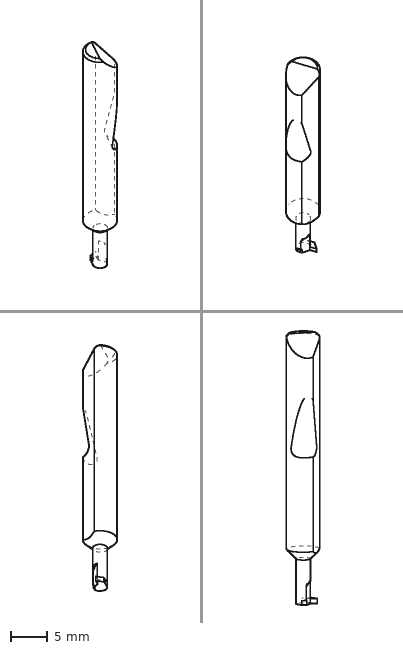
import cadquery as cq
import math

total_length = 38.1
shank_radius = 2.38
top_chamfer = 0.4
cone_top = 7.8
neck_radius = 1.01
cone_height = shank_radius - neck_radius

flat_normal_angle = 143.0
flat_distance = 1.95

slant_edge_y = -0.63
notch_bottom = 21.1
notch_top = 29.85
notch_floor_y = 1.1
notch_corner_radius = 1.2

pocket_normal_angle = 136.0
pocket_floor_distance = 0.75
pocket_top = 3.4
pocket_half_width = 0.75
pocket_corner_radius = 1.3

head_top = 0.72
head_back_y = 0.88
tip_x = -2.04
tip_y = 0.0
heel_x = -1.35
heel_y = -1.0
hook_end_x = 0.095
underside_rise = 0.1


def tool_body():
    """Revolved neck, cone and chamfered shank."""
    profile = [
        (0, 0),
        (neck_radius, 0),
        (neck_radius, cone_top - cone_height),
        (shank_radius, cone_top),
        (shank_radius, total_length - top_chamfer),
        (shank_radius - top_chamfer, total_length),
        (0, total_length),
    ]
    return cq.Workplane("XZ").polyline(profile).close().revolve(360, (0, 0, 0), (0, 1, 0))


def flat_cutter():
    """Block lying outside the long flat, over the full length of the tool."""
    block = cq.Workplane("XY").box(
        shank_radius, 2 * shank_radius, total_length, centered=(False, True, False)
    )
    return block.translate((flat_distance, 0, 0)).rotate((0, 0, 0), (0, 0, 1), flat_normal_angle)


def slant_cutter():
    """45 degree wedge that slopes the shank end towards +Y."""
    run = shank_radius - slant_edge_y
    return (
        cq.Workplane("YZ")
        .moveTo(slant_edge_y, total_length)
        .lineTo(shank_radius, total_length - run)
        .lineTo(shank_radius, total_length)
        .close()
        .extrude(shank_radius, both=True)
    )


def notch_cutter():
    """Clamping notch with a sloped floor and a rounded lower corner."""
    center_y = notch_floor_y + notch_corner_radius
    center_z = notch_bottom + notch_corner_radius
    arc_offset = notch_corner_radius * math.sqrt(0.5)
    return (
        cq.Workplane("YZ")
        .moveTo(shank_radius, notch_top)
        .lineTo(notch_floor_y, center_z)
        .threePointArc((center_y - arc_offset, center_z - arc_offset), (center_y, notch_bottom))
        .lineTo(shank_radius, notch_bottom)
        .close()
        .extrude(shank_radius, both=True)
    )


def pocket_cutter():
    """Flat-floored pocket whose upper end curves down towards +Y."""
    arc_start = pocket_corner_radius - pocket_half_width
    shoulder = pocket_top - pocket_corner_radius
    arc_offset = pocket_corner_radius * math.sqrt(0.5)
    pocket = (
        cq.Workplane("YZ")
        .moveTo(-pocket_half_width, 0)
        .lineTo(-pocket_half_width, shoulder)
        .threePointArc((arc_start - arc_offset, shoulder + arc_offset), (arc_start, pocket_top))
        .lineTo(pocket_half_width, pocket_top)
        .lineTo(pocket_half_width, 0)
        .close()
        .extrude(neck_radius)
    )
    return pocket.translate((pocket_floor_distance, 0, 0)).rotate(
        (0, 0, 0), (0, 0, 1), pocket_normal_angle
    )


def head_back_cutter():
    """Block trimming the +Y side of the neck at head height."""
    block = cq.Workplane("XY").box(
        2 * neck_radius, neck_radius, head_top, centered=(True, False, False)
    )
    return block.translate((0, head_back_y, 0))


def hook():
    """Plate reaching out to -X, with its cutting face towards +Y."""
    hook_end_y = -math.sqrt(neck_radius**2 - hook_end_x**2)
    return (
        cq.Workplane("XY")
        .moveTo(hook_end_x, tip_y)
        .lineTo(tip_x, tip_y)
        .lineTo(heel_x, heel_y)
        .lineTo(hook_end_x, hook_end_y)
        .close()
        .extrude(head_top)
    )


def underside_cutter():
    """Thin wedge that relieves the underside behind the tip."""
    return (
        cq.Workplane("XZ")
        .moveTo(tip_x, 0)
        .lineTo(neck_radius, underside_rise)
        .lineTo(neck_radius, 0)
        .close()
        .extrude(neck_radius, both=True)
    )


shank = tool_body().cut(flat_cutter()).cut(slant_cutter()).cut(notch_cutter())
neck = shank.cut(pocket_cutter()).cut(head_back_cutter())
result = neck.union(hook()).cut(underside_cutter())